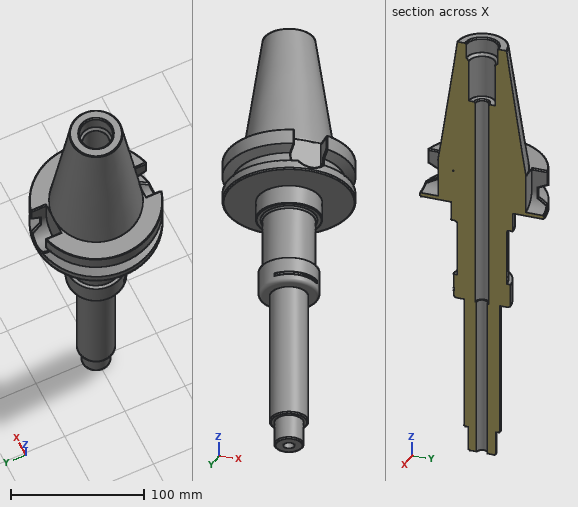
import cadquery as cq
total_length = 351.3
taper_length = 103.5
flange_top_depth = 105.5
flange_bottom_depth = 139.8
collar_bottom_depth = 155.3
nut_top_depth = 201.3
nut_bottom_depth = 221.5
tip_top_depth = 331.3

taper_small_diameter = 40.0
taper_large_diameter = 70.5
flange_diameter = 100.0
groove_diameter = 85.0
collar_diameter = 50.0
neck_diameter = 40.0
nut_diameter = 46.0
rod_diameter = 29.0
tip_diameter = 22.0

upper_rim_height = 12.3
groove_flank_height = 4.0
groove_floor_height = 7.0

flange_chamfer = 1.0
collar_chamfer = 0.7
neck_cone_height = 1.5
nut_fillet = 2.8
slot_chamfer = 1.0
taper_chamfer = 0.7
rim_chamfer = 0.53
passage_chamfer = 1.0
mouth_chamfer = 1.0
rod_chamfer = 1.0
tip_chamfer = 1.0

slot_width = 25.3
slot_floor_radius = 35.0
slot_round_depth = 123.5
slot_contour_inset = 4.2

mouth_diameter = 25.0
mouth_depth = 12.5
thread_diameter = 20.7
thread_depth = 49.2
upper_coolant_diameter = 10.5
lower_coolant_diameter = 8.5

mark_top_depth = 213.2
mark_height = 2.0
mark_cut_depth = 0.7
mark_half_width = 17.0


def height(depth):
    """Z of a level lying the given distance below the small end of the taper."""
    return total_length - depth


def revolved_body():
    groove_top = flange_top_depth + upper_rim_height
    groove_floor_top = groove_top + groove_flank_height
    groove_floor_bottom = groove_floor_top + groove_floor_height
    groove_bottom = groove_floor_bottom + groove_flank_height
    outline = [
        (taper_small_diameter - 2 * taper_chamfer, 0),
        (taper_small_diameter, taper_chamfer),
        (taper_large_diameter, taper_length),
        (taper_large_diameter, flange_top_depth),
        (flange_diameter, flange_top_depth),
        (flange_diameter, groove_top),
        (groove_diameter, groove_floor_top),
        (groove_diameter, groove_floor_bottom),
        (flange_diameter, groove_bottom),
        (flange_diameter, flange_bottom_depth - flange_chamfer),
        (flange_diameter - 2 * flange_chamfer, flange_bottom_depth),
        (collar_diameter, flange_bottom_depth),
        (collar_diameter, collar_bottom_depth - collar_chamfer),
        (collar_diameter - 2 * collar_chamfer, collar_bottom_depth),
        (neck_diameter + 2 * neck_cone_height, collar_bottom_depth),
        (neck_diameter, collar_bottom_depth + neck_cone_height),
        (neck_diameter, nut_top_depth),
        (nut_diameter, nut_top_depth),
        (nut_diameter, nut_bottom_depth),
        (rod_diameter, nut_bottom_depth),
        (rod_diameter, tip_top_depth - rod_chamfer),
        (rod_diameter - 2 * rod_chamfer, tip_top_depth),
        (tip_diameter, tip_top_depth),
        (tip_diameter, total_length - tip_chamfer),
        (tip_diameter - 2 * tip_chamfer, total_length),
    ]
    points = [(diameter / 2, height(depth)) for diameter, depth in outline]
    profile = cq.Workplane("XZ").moveTo(0, height(0))
    for point in points:
        profile = profile.lineTo(*point)
    return profile.lineTo(0, 0).close().revolve(360, (0, 0), (0, 1))


def drive_slot(side):
    """Round-bottomed slot cutter on the +Y (side = 1) or -Y (side = -1) face."""
    top = height(flange_top_depth)
    round_center = height(slot_round_depth)
    half_width = slot_width / 2
    return (
        cq.Workplane("XZ", origin=(0, side * slot_floor_radius, 0))
        .moveTo(-half_width, top)
        .lineTo(-half_width, round_center)
        .threePointArc((0, round_center - half_width), (half_width, round_center))
        .lineTo(half_width, top)
        .close()
        .extrude(-side * flange_diameter / 2)
    )


def edges_between(body, first_corner, second_corner):
    """Edges whose centers lie inside the box spanned by the two corners."""
    return body.edges(cq.selectors.BoxSelector(first_corner, second_corner))


def round_nut_underside(body):
    level = height(nut_bottom_depth)
    margin = 0.5
    underside = edges_between(
        body,
        (-nut_diameter, -nut_diameter, level - margin),
        (nut_diameter, nut_diameter, level + margin),
    )
    return underside.edges(cq.selectors.RadiusNthSelector(-1)).fillet(nut_fillet)


def break_slot_edges(body, side):
    """Chamfer the contour where a slot opens to the flange's top and outer surfaces."""
    half_width = slot_width / 2
    margin = 0.5
    contour = edges_between(
        body,
        (-half_width - margin, side * (slot_floor_radius + slot_contour_inset), height(flange_bottom_depth)),
        (half_width + margin, side * flange_diameter / 2, height(flange_top_depth) + margin),
    )
    return contour.chamfer(slot_chamfer)


def rim_chamfer_cutter():
    """Triangular ring that breaks the top outer edge of the flange."""
    radius = flange_diameter / 2
    top = height(flange_top_depth)
    return (
        cq.Workplane("XZ")
        .moveTo(radius - rim_chamfer, top)
        .lineTo(radius, top)
        .lineTo(radius, top - rim_chamfer)
        .close()
        .revolve(360, (0, 0), (0, 1))
    )


def bore_cutter():
    """Threaded bore with a conical step below its mouth, then the coolant passage."""
    mouth_radius = mouth_diameter / 2
    thread_radius = thread_diameter / 2
    cone_end_depth = mouth_depth + mouth_radius - thread_radius
    return (
        cq.Workplane("XZ")
        .moveTo(0, height(0))
        .lineTo(mouth_radius + mouth_chamfer, height(0))
        .lineTo(mouth_radius, height(mouth_chamfer))
        .lineTo(mouth_radius, height(mouth_depth))
        .lineTo(thread_radius, height(cone_end_depth))
        .lineTo(thread_radius, height(thread_depth))
        .lineTo(upper_coolant_diameter / 2 + passage_chamfer, height(thread_depth))
        .lineTo(upper_coolant_diameter / 2, height(thread_depth + passage_chamfer))
        .lineTo(upper_coolant_diameter / 2, height(nut_bottom_depth))
        .lineTo(lower_coolant_diameter / 2, height(nut_bottom_depth))
        .lineTo(lower_coolant_diameter / 2, height(total_length))
        .lineTo(0, height(total_length))
        .close()
        .revolve(360, (0, 0), (0, 1))
    )


def nut_mark_cutter():
    """Ring with the marking groove's section, trimmed to the -Y side of the nut."""
    ring = (
        cq.Workplane("XY", origin=(0, 0, height(mark_top_depth)))
        .circle(nut_diameter / 2)
        .circle(nut_diameter / 2 - mark_cut_depth)
        .extrude(-mark_height)
    )
    trim = (
        cq.Workplane("XY", origin=(0, -nut_diameter / 2, height(mark_top_depth)))
        .rect(2 * mark_half_width, nut_diameter)
        .extrude(-mark_height)
    )
    return ring.intersect(trim)


result = round_nut_underside(revolved_body())
for side in (1, -1):
    result = result.cut(drive_slot(side))
for side in (1, -1):
    result = break_slot_edges(result, side)
result = result.cut(rim_chamfer_cutter()).cut(bore_cutter()).cut(nut_mark_cutter())